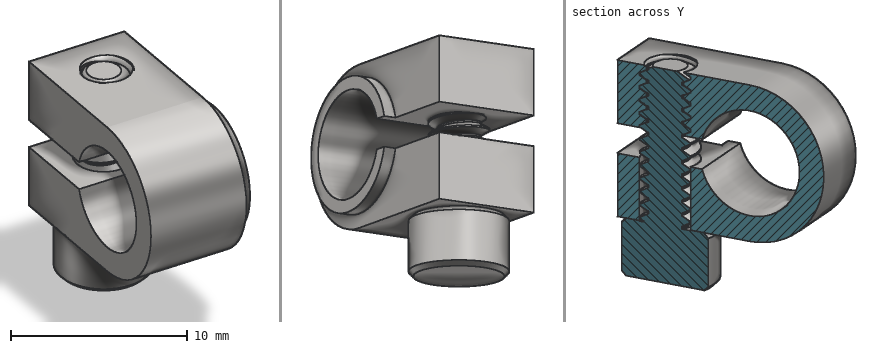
import cadquery as cq
import math


overall_length = 13.26
clamp_height = 9.53
clamp_depth = 6.35
bore_diameter = 6.35
slot_width = 1.79
boss_diameter = 7.88
boss_length = 0.75

end_radius = clamp_height / 2
left_face_x = end_radius - overall_length
clamp_bottom_z = -clamp_height / 2
clamp_top_z = clamp_height / 2
total_depth = clamp_depth + boss_length

screw_x = left_face_x + 3.06
screw_y = 3.1
head_diameter = 5.73
head_height = 3.5
head_chamfer = 0.28
tip_diameter = 1.99
tip_angle = 30.0
screw_tip_z = clamp_top_z

thread_diameter = 3.5
thread_pitch = 0.8
thread_depth = 0.5
flank_half_angle = 30.0
crest_width = thread_pitch / 8
crest_height = 0.55
root_overlap = 0.04
tapped_minor_diameter = 2.69

thread_radius = thread_diameter / 2
core_radius = thread_radius - thread_depth


def y_cylinder(diameter, y_start, y_end):
    """Cylinder on the bore axis between two Y positions."""
    length = y_end - y_start
    return cq.Workplane("XZ", origin=(0, y_start, 0)).circle(diameter / 2).extrude(-length)


def screw_cylinder(radius, z_start, z_end):
    """Cylinder on the screw axis between two Z positions."""
    return cq.Workplane("XY", origin=(screw_x, screw_y, z_start)).circle(radius).extrude(z_end - z_start)


def make_threaded_rod():
    """Threaded rod on the screw axis that runs past both the bottom and the top of the clamp."""
    turns_below = math.ceil((crest_height - clamp_bottom_z) / thread_pitch) + 1
    turns_above = math.ceil((clamp_top_z - crest_height) / thread_pitch) + 1
    start_z = crest_height - turns_below * thread_pitch
    ridge_length = (turns_below + turns_above) * thread_pitch

    inner_radius = core_radius - root_overlap
    half_crest = crest_width / 2
    half_root = half_crest + (thread_radius - inner_radius) * math.tan(math.radians(flank_half_angle))
    ridge_profile = cq.Workplane("XZ").polyline([
        (inner_radius, -half_root),
        (thread_radius, -half_crest),
        (thread_radius, half_crest),
        (inner_radius, half_root),
    ]).close()
    helix = cq.Workplane(obj=cq.Wire.makeHelix(thread_pitch, ridge_length, core_radius))
    ridge = ridge_profile.sweep(helix, isFrenet=True).translate((screw_x, screw_y, start_z))
    return screw_cylinder(core_radius, start_z, start_z + ridge_length).union(ridge)


def make_clamp(threaded_rod):
    """Slotted clamp: rounded at +X, bored along Y, lower arm drilled and upper arm tapped."""
    body = (
        cq.Workplane("XZ")
        .moveTo(left_face_x, clamp_bottom_z)
        .lineTo(0, clamp_bottom_z)
        .threePointArc((end_radius, 0), (0, clamp_top_z))
        .lineTo(left_face_x, clamp_top_z)
        .close()
        .extrude(-clamp_depth)
    )
    body = body.union(y_cylinder(boss_diameter, clamp_depth, total_depth))
    body = body.cut(y_cylinder(bore_diameter, 0, total_depth))

    slot = cq.Workplane("XY").box(-left_face_x, total_depth, slot_width, centered=(False, False, True))
    body = body.cut(slot.translate((left_face_x, 0, 0)))

    clearance_hole = screw_cylinder(thread_radius, clamp_bottom_z, 0)
    upper_half = screw_cylinder(thread_diameter, 0, clamp_top_z + thread_pitch)
    tapped_hole = threaded_rod.intersect(upper_half)
    tapped_core = screw_cylinder(tapped_minor_diameter / 2, 0, clamp_top_z)
    return body.cut(clearance_hole).cut(tapped_hole).cut(tapped_core)


def make_screw(threaded_rod):
    """Cap screw with a chamfered head and a shallow conical tip flush with the top of the clamp."""
    head = screw_cylinder(head_diameter / 2, clamp_bottom_z - head_height, clamp_bottom_z)
    head = head.faces("<Z or >Z").chamfer(head_chamfer)

    envelope_radius = thread_radius + crest_width
    tip_width = envelope_radius - tip_diameter / 2
    tip_height = tip_width * math.tan(math.radians(tip_angle))
    shank_envelope = (
        cq.Workplane("XZ")
        .moveTo(0, clamp_bottom_z)
        .lineTo(envelope_radius, clamp_bottom_z)
        .lineTo(envelope_radius, screw_tip_z - tip_height)
        .lineTo(tip_diameter / 2, screw_tip_z)
        .lineTo(0, screw_tip_z)
        .close()
        .revolve(360, (0, 0, 0), (0, 1, 0))
        .translate((screw_x, screw_y, 0))
    )
    shank = threaded_rod.intersect(shank_envelope)
    return head.union(shank)


rod = make_threaded_rod()
clamp = make_clamp(rod)
screw = make_screw(rod)

result = cq.Compound.makeCompound([clamp.val(), screw.val()])